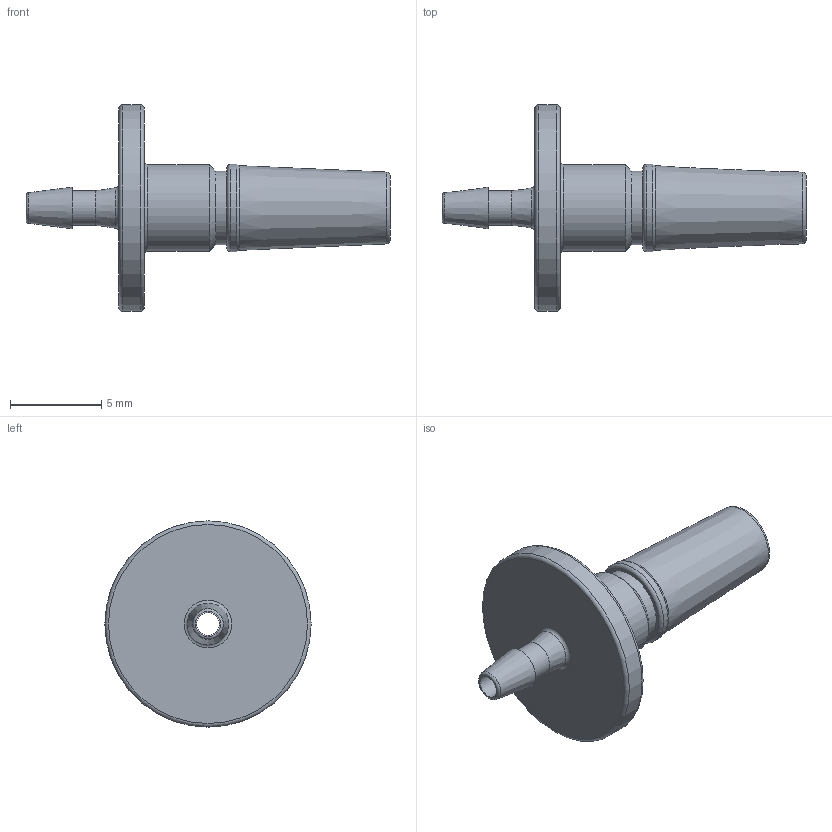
import cadquery as cq

overall_length = 19.94
barb_edge_x = 2.53
root_cone_x = 3.81
flange_x = 5.09
flange_thickness = 1.38
hub_end_x = 10.4
collar_x = 11.0
collar_width = 0.55
taper_x = 11.68

flange_radius = 5.65
bore_radius = 0.63
tip_radius = 0.82
barb_radius = 1.14
barb_neck_radius = 0.95
barb_root_radius = 1.13
hub_radius = 2.38
groove_radius = 2.02
collar_radius = 2.39
taper_start_radius = 2.32
taper_end_radius = 1.96

hub_chamfer = hub_radius - groove_radius
edge_fillet = 0.2
tip_fillet = 0.15

match_tolerance = 0.001

flange_end_x = flange_x + flange_thickness
collar_end_x = collar_x + collar_width


def is_circle_at(edge, x, radius):
    """Tell whether an edge is the circle of the given radius around the X axis at x."""
    if edge.geomType() != "CIRCLE":
        return False
    return abs(edge.Center().x - x) < match_tolerance and abs(edge.radius() - radius) < match_tolerance


def make_body():
    """Revolve the outer profile, with sharp edges, about the X axis."""
    profile = (
        cq.Workplane("XZ")
        .moveTo(0, 0)
        .lineTo(0, tip_radius)
        .lineTo(barb_edge_x, barb_radius)
        .lineTo(barb_edge_x, barb_neck_radius)
        .lineTo(root_cone_x, barb_neck_radius)
        .lineTo(flange_x, barb_root_radius)
        .lineTo(flange_x, flange_radius)
        .lineTo(flange_end_x, flange_radius)
        .lineTo(flange_end_x, hub_radius)
        .lineTo(hub_end_x - hub_chamfer, hub_radius)
        .lineTo(hub_end_x, groove_radius)
        .lineTo(collar_x, groove_radius)
        .lineTo(collar_x, collar_radius)
        .lineTo(collar_end_x, collar_radius)
        .lineTo(taper_x, taper_start_radius)
        .lineTo(overall_length, taper_end_radius)
        .lineTo(overall_length, 0)
        .close()
    )
    return profile.revolve(360, (0, 0, 0), (1, 0, 0))


def round_edges(body):
    """Round the flange, its two inside corners, the collar and both ends."""
    rounded_circles = (
        (0, tip_radius, tip_fillet),
        (flange_x, barb_root_radius, edge_fillet),
        (flange_x, flange_radius, edge_fillet),
        (flange_end_x, flange_radius, edge_fillet),
        (flange_end_x, hub_radius, edge_fillet),
        (collar_x, collar_radius, edge_fillet),
        (overall_length, taper_end_radius, edge_fillet),
    )
    for x, radius, fillet in rounded_circles:
        circle = [edge for edge in body.edges().vals() if is_circle_at(edge, x, radius)]
        body = body.newObject(circle).fillet(fillet)
    return body


def cut_bore(body):
    """Drill the straight flow passage through the full length."""
    bore = cq.Workplane("YZ").circle(bore_radius).extrude(overall_length)
    return body.cut(bore)


result = cut_bore(round_edges(make_body()))